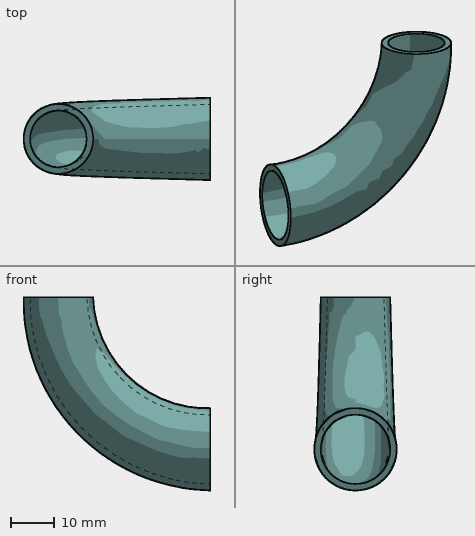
import cadquery as cq

top_diameter = 16.0
side_diameter = 19.0
wall = 1.5
height = 44.5

bend_radius = height - side_diameter / 2
bend_center_x = top_diameter / 2 + bend_radius
side_center_z = height - bend_radius


def tapered_bend(start_diameter, end_diameter):
    """Solid quarter bend swept from the top circle to the side circle."""
    path = (
        cq.Workplane("XZ")
        .moveTo(top_diameter / 2, height)
        .radiusArc((bend_center_x, side_center_z), -bend_radius)
    )
    return (
        cq.Workplane("XY", origin=(top_diameter / 2, 0, height))
        .circle(start_diameter / 2)
        .add(
            cq.Workplane("YZ", origin=(bend_center_x, 0, side_center_z))
            .circle(end_diameter / 2)
        )
        .toPending()
        .sweep(path, multisection=True)
    )


outer = tapered_bend(top_diameter, side_diameter)
bore = tapered_bend(top_diameter - 2 * wall, side_diameter - 2 * wall)
result = outer.cut(bore)